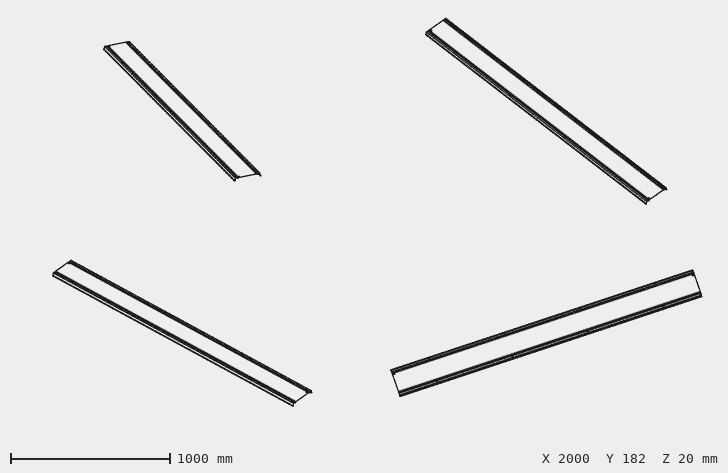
import cadquery as cq

LENGTH = 2000.0
WIDTH = 182.0
HEIGHT = 20.0
SHEET = 1.0

FLANGE_WIDTH = 5.0
WALL_LEAN = 2.0

GROOVE_OUTER = 75.0
GROOVE_OUTER_BREAK = 72.0
GROOVE_BOTTOM = 65.0
GROOVE_INNER_BREAK = 62.0
GROOVE_INNER = 58.0
GROOVE_DEPTH = 5.0
ENTRY_DEPTH = 1.0

HOLE_DIAMETER = 5.0
END_HOLE_DISTANCE = 12.0
END_HOLE_Y = -55.0

SIDE_HOLES = 4

wall_foot = WIDTH / 2 - FLANGE_WIDTH
wall_head = wall_foot - WALL_LEAN


def half_skin(web_z, flange_z, wall_inset):
    """Points (y, z) of one sheet skin on the +Y half, from rim to web."""
    return [
        (WIDTH / 2, flange_z),
        (wall_foot - wall_inset, flange_z),
        (wall_head - wall_inset, web_z),
        (GROOVE_OUTER, web_z),
        (GROOVE_OUTER_BREAK, web_z - ENTRY_DEPTH),
        (GROOVE_BOTTOM, web_z - GROOVE_DEPTH),
        (GROOVE_INNER_BREAK, web_z - ENTRY_DEPTH),
        (GROOVE_INNER, web_z),
    ]


def full_skin(half):
    """Extend a +Y half skin across the mid plane to the -Y rim."""
    return half + [(-y, z) for y, z in reversed(half)]


def folded_sheet():
    """Constant section along X, centred on the origin in X and Y."""
    upper = full_skin(half_skin(HEIGHT, SHEET, 0))
    lower = full_skin(half_skin(HEIGHT - SHEET, 0, SHEET))
    outline = upper + lower[::-1]
    return cq.Workplane("YZ").polyline(outline).close().extrude(LENGTH / 2, both=True)


def end_holes():
    """Cutters for one small hole through the web near each end, on the -Y side."""
    hole_x = LENGTH / 2 - END_HOLE_DISTANCE
    centres = [(-hole_x, END_HOLE_Y), (hole_x, END_HOLE_Y)]
    return cq.Workplane("XY").pushPoints(centres).circle(HOLE_DIAMETER / 2).extrude(HEIGHT)


def side_holes():
    """Cutters for the row of holes along the outer edge of both grooves."""
    pitch = LENGTH / SIDE_HOLES
    return (
        cq.Workplane("XY")
        .rarray(pitch, 2 * GROOVE_OUTER, SIDE_HOLES, 2)
        .circle(HOLE_DIAMETER / 2)
        .extrude(HEIGHT)
    )


result = folded_sheet().cut(end_holes()).cut(side_holes())